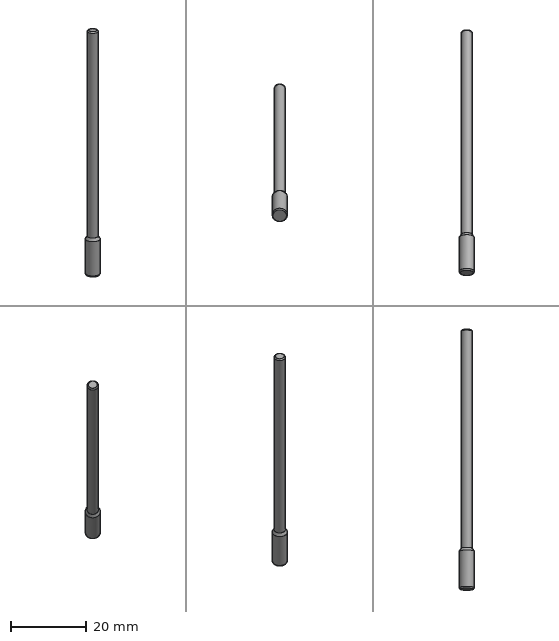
import cadquery as cq

total_length = 70.0
rod_diameter = 3.0
head_diameter = 4.05

head_length = 11.05
shoulder_height = 0.85

rod_tip_chamfer = 0.35
head_end_chamfer_width = 0.245
head_end_chamfer_height = 0.4


def make_head():
    """Thick lower end, tapering at its top to the rod diameter."""
    straight_length = head_length - shoulder_height
    head = (
        cq.Workplane("XZ")
        .lineTo(head_diameter / 2 - head_end_chamfer_width, 0)
        .lineTo(head_diameter / 2, head_end_chamfer_height)
        .lineTo(head_diameter / 2, straight_length)
        .lineTo(rod_diameter / 2, head_length)
        .lineTo(0, head_length)
        .close()
    )
    return head.revolve(360, (0, 0), (0, 1))


def make_rod():
    """Long slender rod standing on the top face of the head."""
    rod_length = total_length - head_length
    rod = cq.Workplane("XY").workplane(offset=head_length)
    rod = rod.circle(rod_diameter / 2).extrude(rod_length)
    return rod.faces(">Z").chamfer(rod_tip_chamfer)


head = make_head()
rod = make_rod()

result = cq.Compound.makeCompound([head.val(), rod.val()])